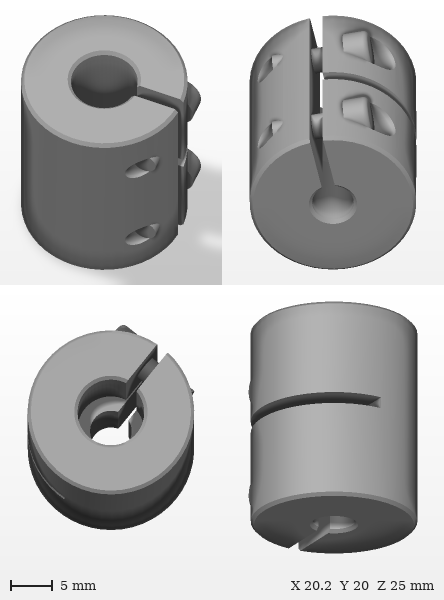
import cadquery as cq

LENGTH = 25.0
HUB_RADIUS = 10.0
RIM_CHAMFER = 0.4

UPPER_BORE_RADIUS = 4.0
LOWER_BORE_RADIUS = 2.5
BORE_CHAMFER = 0.4

SLIT_WIDTH = 1.6
CROSS_SLOT_HEIGHT = 1.4
CROSS_SLOT_FLOOR_Y = -SLIT_WIDTH / 2
BORE_STEP_Z = (LENGTH - CROSS_SLOT_HEIGHT) / 2

SCREW_X = 7.55
SCREW_END_DISTANCE = 5.85
SCREW_HEIGHTS = (SCREW_END_DISTANCE, LENGTH - SCREW_END_DISTANCE)
SHANK_RADIUS = 1.5
SHANK_END_Y = -5.6
HEAD_RADIUS = 2.6
HEAD_SEAT_Y = 3.3
HEAD_HEIGHT = 2.95
HEAD_FILLET = 0.6


def cylinder_along_y(radius, start_y, end_y, height_z):
    """Cylinder on a screw axis, spanning start_y to end_y."""
    return cq.Workplane(
        cq.Solid.makeCylinder(
            radius,
            end_y - start_y,
            cq.Vector(SCREW_X, start_y, height_z),
            cq.Vector(0, 1, 0),
        )
    )


def make_screw(height_z):
    """Cap screw with its head towards +Y."""
    shank = cylinder_along_y(SHANK_RADIUS, SHANK_END_Y, HEAD_SEAT_Y, height_z)
    head = cylinder_along_y(HEAD_RADIUS, HEAD_SEAT_Y, HEAD_SEAT_Y + HEAD_HEIGHT, height_z)
    head = head.faces(">Y").edges().fillet(HEAD_FILLET)
    return shank.union(head)


def cut_screw_seat(hub, height_z):
    """Through hole for the shank and a counterbore open towards +Y."""
    hole = cylinder_along_y(SHANK_RADIUS, -HUB_RADIUS, HUB_RADIUS, height_z)
    counterbore = cylinder_along_y(HEAD_RADIUS, HEAD_SEAT_Y, HUB_RADIUS, height_z)
    return hub.cut(hole).cut(counterbore)


def make_hub():
    hub = cq.Workplane("XY").circle(HUB_RADIUS).extrude(LENGTH)
    hub = hub.faces("<Z or >Z").edges().chamfer(RIM_CHAMFER)

    lower_bore = cq.Workplane("XY").circle(LOWER_BORE_RADIUS).extrude(LENGTH)
    upper_bore = (
        cq.Workplane("XY")
        .workplane(offset=BORE_STEP_Z)
        .circle(UPPER_BORE_RADIUS)
        .extrude(LENGTH - BORE_STEP_Z)
    )
    hub = hub.cut(lower_bore).cut(upper_bore)
    for end in ("<Z", ">Z"):
        bore_mouth = hub.faces(end).edges(cq.selectors.RadiusNthSelector(0))
        hub = bore_mouth.chamfer(BORE_CHAMFER)

    slit = cq.Workplane("XY").box(HUB_RADIUS, SLIT_WIDTH, LENGTH, centered=(False, True, False))
    hub = hub.cut(slit)

    slot_depth = HUB_RADIUS - CROSS_SLOT_FLOOR_Y
    cross_slot = (
        cq.Workplane("XY")
        .box(2 * HUB_RADIUS, slot_depth, CROSS_SLOT_HEIGHT, centered=(True, False, True))
        .translate((0, CROSS_SLOT_FLOOR_Y, LENGTH / 2))
    )
    hub = hub.cut(cross_slot)

    for height_z in SCREW_HEIGHTS:
        hub = cut_screw_seat(hub, height_z)
    return hub


hub = make_hub()
screws = [make_screw(height_z) for height_z in SCREW_HEIGHTS]
result = cq.Compound.makeCompound([hub.val(), *[screw.val() for screw in screws]])